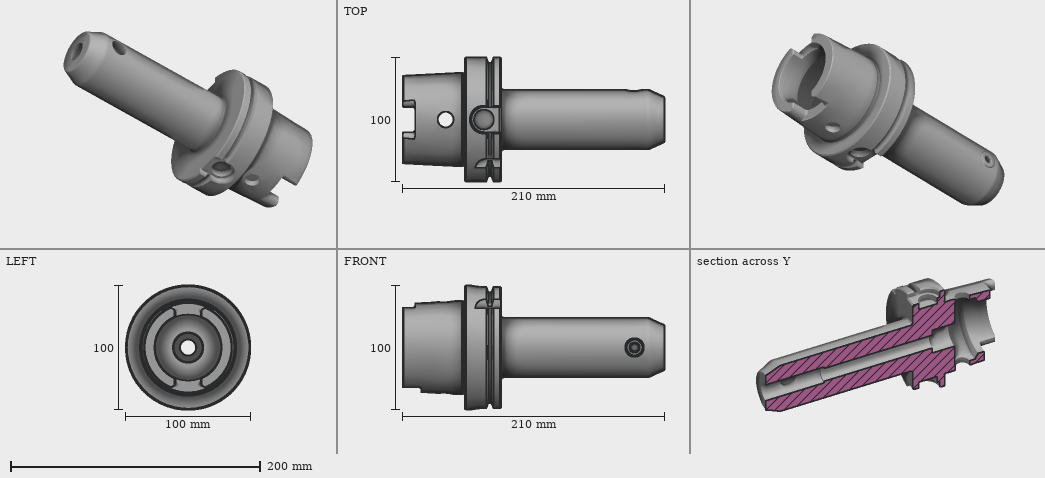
import cadquery as cq
import math

SHANK_LENGTH = 50.0
TAPER_RADIUS = 37.6
TAPER_RATIO = 1 / 20
SHANK_END_CHAMFER = 1.0
UNDERCUT_WIDTH = 2.6
UNDERCUT_RADIUS = 37.2
UNDERCUT_BEVEL = 0.7
RELIEF_RADIUS = 38.7
RELIEF_DEPTH = 0.5

FLANGE_RADIUS = 50.0
FLANGE_WIDTH = 29.0
FLANGE_CHAMFER = 1.0
GROOVE_CENTRE = 20.0
GROOVE_RADIUS = 45.6
GROOVE_FLOOR_WIDTH = 2.8
GROOVE_FILLET = 0.7
GROOVE_MOUTH_WIDTH = 6.0

NECK_RADIUS = 24.0
TIP_X = 160.0
ROOT_FILLET = 2.0
TIP_CONE_START = 147.0
TIP_CONE_ANGLE = 24.5
CONE_BLEND_RADIUS = 4.0
TIP_ROUND = 1.5

CLAMP_BORE_RADIUS = 26.5
CLAMP_BORE_CHAMFER = 0.5
CLAMP_LIP_LENGTH = 20.7
RECESS_RADIUS = 31.5
RECESS_ANGLE = 30.0
CLAMP_FLOOR_X = -8.6
TUBE_THREAD_RADIUS = 11.6
TUBE_THREAD_CHAMFER = 0.6
TUBE_THREAD_DEPTH = 20.0
COOLANT_RADIUS = 6.4
TOOL_BORE_RADIUS = 8.0
TOOL_BORE_DEPTH = 52.0

DRIVE_HALF_WIDTH = 10.0
DRIVE_SHOULDER_Z = 32.0
DRIVE_CORNER_RADIUS = 5.0
DRIVE_MOUTH_CHAMFER = 1.0
DRIVE_FLOOR_FILLET = 1.5
DRIVE_DEPTHS = {1: 10.0, -1: 15.0}

CROSS_HOLE_X = -15.5
CROSS_HOLE_RADIUS = 6.25

KEY_HALF_WIDTH = 10.0
KEY_ARC_X = 15.2
KEY_FLOOR_Z = 44.0
KEY_EDGE_CHAMFER = 1.3
CHIP_HOLE_RADIUS = 8.0
CHIP_HOLE_DEPTH = 6.0

NOTCH_OFFSET = 31.5
NOTCH_CORNER_X = 17.0
NOTCH_CORNER_RADIUS = 9.0

SCREW_X = 136.0
SCREW_RADIUS = 7.0
SCREW_TOP = 23.8
SCREW_BOTTOM = 9.0
SCREW_CHAMFER = 0.8
SCREW_HOLE_MOUTH_RADIUS = 7.5
SCREW_MOUTH_DEPTH = 1.2
HEX_FLATS = 6.0
HEX_DEPTH = 5.0
HEX_MOUTH_RADIUS = 4.2
BALANCE_X = 135.3
BALANCE_HOLE_RADIUS = 7.0
BALANCE_HOLE_DEPTH = 8.0

EDGE_BOX = 1.0
CLEAR = 5.0


def disc(x_start, x_end, radius):
    """Cylinder on the tool axis between two X positions."""
    return cq.Workplane("YZ").workplane(offset=x_start).circle(radius).extrude(x_end - x_start)


def radial_cylinder(x, y_start, y_end, radius):
    """Cylinder along Y at a given X, between two Y positions."""
    plane = cq.Plane(origin=(x, y_start, 0), xDir=(1, 0, 0), normal=(0, 1, 0))
    return cq.Workplane(plane).circle(radius).extrude(y_end - y_start)


def revolved(points):
    """Solid of revolution about the X axis from a closed (x, radius) outline."""
    return cq.Workplane("XY").polyline(points).close().revolve(360, (0, 0, 0), (1, 0, 0))


def flange_shank_blank():
    """Taper shank, undercut and plain flange as one turned shape."""
    end_radius = TAPER_RADIUS - (SHANK_LENGTH - UNDERCUT_WIDTH) * TAPER_RATIO
    return revolved([
        (-SHANK_LENGTH, 0),
        (-SHANK_LENGTH, end_radius - SHANK_END_CHAMFER / 2),
        (-SHANK_LENGTH + SHANK_END_CHAMFER, end_radius),
        (-UNDERCUT_WIDTH, TAPER_RADIUS),
        (-UNDERCUT_WIDTH + UNDERCUT_BEVEL, UNDERCUT_RADIUS),
        (-UNDERCUT_BEVEL, UNDERCUT_RADIUS),
        (RELIEF_DEPTH, UNDERCUT_RADIUS + UNDERCUT_BEVEL),
        (RELIEF_DEPTH, RELIEF_RADIUS - RELIEF_DEPTH),
        (0, RELIEF_RADIUS),
        (0, FLANGE_RADIUS - FLANGE_CHAMFER),
        (FLANGE_CHAMFER, FLANGE_RADIUS),
        (FLANGE_WIDTH, FLANGE_RADIUS),
        (FLANGE_WIDTH, 0),
    ])


def gripper_groove():
    """V-shaped ring cut into the flange rim."""
    outer_radius = FLANGE_RADIUS + CLEAR
    flank_slope = (GROOVE_MOUTH_WIDTH - GROOVE_FLOOR_WIDTH) / 2 / (FLANGE_RADIUS - GROOVE_RADIUS)
    half_floor = GROOVE_FLOOR_WIDTH / 2
    half_mouth = half_floor + flank_slope * (outer_radius - GROOVE_RADIUS)
    ring = revolved([
        (GROOVE_CENTRE - half_mouth, outer_radius),
        (GROOVE_CENTRE - half_floor, GROOVE_RADIUS),
        (GROOVE_CENTRE + half_floor, GROOVE_RADIUS),
        (GROOVE_CENTRE + half_mouth, outer_radius),
    ])
    floor_edges = cq.selectors.RadiusNthSelector(0)
    return ring.edges("%CIRCLE").edges(floor_edges).fillet(GROOVE_FILLET)


def rear_bevel():
    """Ring that bevels the rear rim of the flange."""
    return revolved([
        (FLANGE_WIDTH - FLANGE_CHAMFER, FLANGE_RADIUS),
        (FLANGE_WIDTH, FLANGE_RADIUS - FLANGE_CHAMFER),
        (FLANGE_WIDTH + FLANGE_CHAMFER, FLANGE_RADIUS - FLANGE_CHAMFER),
        (FLANGE_WIDTH + FLANGE_CHAMFER, FLANGE_RADIUS + FLANGE_CHAMFER),
        (FLANGE_WIDTH - FLANGE_CHAMFER, FLANGE_RADIUS + FLANGE_CHAMFER),
    ])


def neck():
    """Cylinder with a filleted root at the flange and a blended cone at the tip."""
    tip_radius = NECK_RADIUS - (TIP_X - TIP_CONE_START) * math.tan(math.radians(TIP_CONE_ANGLE))
    root_x = FLANGE_WIDTH + ROOT_FILLET
    body = (
        cq.Workplane("XY")
        .moveTo(0, 0)
        .lineTo(0, NECK_RADIUS + ROOT_FILLET)
        .lineTo(FLANGE_WIDTH, NECK_RADIUS + ROOT_FILLET)
        .radiusArc((root_x, NECK_RADIUS), -ROOT_FILLET)
        .lineTo(TIP_CONE_START, NECK_RADIUS)
        .lineTo(TIP_X, tip_radius)
        .lineTo(TIP_X, 0)
        .close()
        .revolve(360, (0, 0, 0), (1, 0, 0))
    )
    cone_edge = cq.selectors.BoxSelector(
        (TIP_CONE_START - EDGE_BOX, -CLEAR, -CLEAR), (TIP_CONE_START + EDGE_BOX, CLEAR, CLEAR))
    body = body.edges("%CIRCLE").edges(cone_edge).fillet(CONE_BLEND_RADIUS)
    return body.faces(">X").edges().fillet(TIP_ROUND)


def axial_bores():
    """Clamping bore with its recess, coolant tube thread, coolant passage and tool bore."""
    recess_start = -SHANK_LENGTH + CLAMP_LIP_LENGTH
    recess_full = recess_start + (RECESS_RADIUS - CLAMP_BORE_RADIUS) * math.tan(math.radians(RECESS_ANGLE))
    thread_mouth = TUBE_THREAD_RADIUS + TUBE_THREAD_CHAMFER
    clamp_bore = revolved([
        (-SHANK_LENGTH, 0),
        (-SHANK_LENGTH, CLAMP_BORE_RADIUS + CLAMP_BORE_CHAMFER),
        (-SHANK_LENGTH + CLAMP_BORE_CHAMFER, CLAMP_BORE_RADIUS),
        (recess_start, CLAMP_BORE_RADIUS),
        (recess_full, RECESS_RADIUS),
        (CLAMP_FLOOR_X, RECESS_RADIUS),
        (CLAMP_FLOOR_X, thread_mouth),
        (CLAMP_FLOOR_X + TUBE_THREAD_CHAMFER, TUBE_THREAD_RADIUS),
        (CLAMP_FLOOR_X + TUBE_THREAD_DEPTH, TUBE_THREAD_RADIUS),
        (CLAMP_FLOOR_X + TUBE_THREAD_DEPTH, 0),
    ])
    coolant = disc(CLAMP_FLOOR_X, TIP_X, COOLANT_RADIUS)
    tool_bore = disc(TIP_X - TOOL_BORE_DEPTH, TIP_X + CLEAR, TOOL_BORE_RADIUS)
    return clamp_bore.union(coolant).union(tool_bore)


def drive_slot(side):
    """Slot across the shank end: a straight passage that widens over rounded tooth corners."""
    inner_z = CLAMP_BORE_RADIUS / 2
    outer_z = TAPER_RADIUS + CLEAR
    arc_y = DRIVE_HALF_WIDTH + DRIVE_CORNER_RADIUS
    arc_z = DRIVE_SHOULDER_Z - DRIVE_CORNER_RADIUS
    shoulder_y = 2 * DRIVE_HALF_WIDTH
    depth = DRIVE_DEPTHS[side]
    slot = (
        cq.Workplane("YZ")
        .workplane(offset=-SHANK_LENGTH - CLEAR)
        .moveTo(-DRIVE_HALF_WIDTH, side * inner_z)
        .lineTo(DRIVE_HALF_WIDTH, side * inner_z)
        .lineTo(DRIVE_HALF_WIDTH, side * arc_z)
        .radiusArc((arc_y, side * DRIVE_SHOULDER_Z), side * DRIVE_CORNER_RADIUS)
        .lineTo(shoulder_y, side * DRIVE_SHOULDER_Z)
        .lineTo(shoulder_y, side * outer_z)
        .lineTo(-shoulder_y, side * outer_z)
        .lineTo(-shoulder_y, side * DRIVE_SHOULDER_Z)
        .lineTo(-arc_y, side * DRIVE_SHOULDER_Z)
        .radiusArc((-DRIVE_HALF_WIDTH, side * arc_z), side * DRIVE_CORNER_RADIUS)
        .close()
        .extrude(CLEAR + depth)
        .faces(">X").edges().fillet(DRIVE_FLOOR_FILLET)
    )
    mouth_half_width = DRIVE_HALF_WIDTH + DRIVE_MOUTH_CHAMFER
    mouth = (
        cq.Workplane("XY")
        .workplane(offset=side * inner_z)
        .polyline([
            (-SHANK_LENGTH, -mouth_half_width),
            (-SHANK_LENGTH, mouth_half_width),
            (-SHANK_LENGTH + DRIVE_MOUTH_CHAMFER, DRIVE_HALF_WIDTH),
            (-SHANK_LENGTH + DRIVE_MOUTH_CHAMFER, -DRIVE_HALF_WIDTH),
        ])
        .close()
        .extrude(side * (DRIVE_SHOULDER_Z - inner_z))
    )
    return slot.union(mouth)


def cross_hole():
    """Hole along Z through both sides of the shank wall."""
    return (
        cq.Workplane("XY")
        .workplane(offset=-FLANGE_RADIUS)
        .center(CROSS_HOLE_X, 0)
        .circle(CROSS_HOLE_RADIUS)
        .extrude(2 * FLANGE_RADIUS)
    )


def key_slot_prism(half_width, z_bottom, z_top):
    """Round-ended slot open toward +X."""
    end_x = FLANGE_WIDTH + CLEAR
    return (
        cq.Workplane("XY")
        .workplane(offset=z_bottom)
        .moveTo(end_x, half_width)
        .lineTo(KEY_ARC_X, half_width)
        .threePointArc((KEY_ARC_X - half_width, 0), (KEY_ARC_X, -half_width))
        .lineTo(end_x, -half_width)
        .close()
        .extrude(z_top - z_bottom)
    )


def cut_key_slot(body):
    """Key slot at +Z with bevelled rim and floor edges, and a blind hole in its floor."""
    body = body.cut(key_slot_prism(KEY_HALF_WIDTH, KEY_FLOOR_Z, FLANGE_RADIUS + CLEAR))
    reach = KEY_HALF_WIDTH + KEY_EDGE_CHAMFER
    lowest_rim_z = math.sqrt(FLANGE_RADIUS**2 - reach**2)
    rim = cq.selectors.BoxSelector(
        (0, -reach, lowest_rim_z), (FLANGE_WIDTH - EDGE_BOX, reach, FLANGE_RADIUS))
    floor_end = cq.selectors.BoxSelector(
        (FLANGE_WIDTH - EDGE_BOX, -EDGE_BOX, KEY_FLOOR_Z - EDGE_BOX),
        (FLANGE_WIDTH + EDGE_BOX, EDGE_BOX, KEY_FLOOR_Z + EDGE_BOX))
    body = body.edges(rim + floor_end).chamfer(KEY_EDGE_CHAMFER)
    hole = (
        cq.Workplane("XY").workplane(offset=KEY_FLOOR_Z - CHIP_HOLE_DEPTH)
        .center(KEY_ARC_X, 0).circle(CHIP_HOLE_RADIUS).extrude(CHIP_HOLE_DEPTH + CLEAR)
    )
    return body.cut(hole)


def notch():
    """Square corner cut in the rim, its end rounded as by an upright cutter."""
    end_x = FLANGE_WIDTH + CLEAR
    start_x = NOTCH_CORNER_X - NOTCH_CORNER_RADIUS
    return (
        cq.Workplane("XY")
        .workplane(offset=NOTCH_OFFSET)
        .moveTo(end_x, -NOTCH_OFFSET)
        .lineTo(NOTCH_CORNER_X, -NOTCH_OFFSET)
        .radiusArc((start_x, -NOTCH_OFFSET - NOTCH_CORNER_RADIUS), -NOTCH_CORNER_RADIUS)
        .lineTo(start_x, -FLANGE_RADIUS)
        .lineTo(end_x, -FLANGE_RADIUS)
        .close()
        .extrude(FLANGE_RADIUS - NOTCH_OFFSET)
    )


def screw_hole():
    """Radial hole from -Y to the tool axis, with a wider mouth that narrows in a cone."""
    cone_depth = SCREW_HOLE_MOUTH_RADIUS - SCREW_RADIUS
    mouth_y = -NECK_RADIUS + SCREW_MOUTH_DEPTH
    cone = cq.Solid.makeCone(
        SCREW_HOLE_MOUTH_RADIUS, SCREW_RADIUS, cone_depth, pnt=(SCREW_X, mouth_y, 0), dir=(0, 1, 0))
    hole = radial_cylinder(SCREW_X, -NECK_RADIUS - CLEAR, 0, SCREW_RADIUS)
    mouth = radial_cylinder(SCREW_X, -NECK_RADIUS - CLEAR, mouth_y, SCREW_HOLE_MOUTH_RADIUS)
    return hole.union(mouth).union(cq.Workplane(cone))


def balance_hole():
    """Blind hole opposite the clamping screw."""
    floor_y = NECK_RADIUS - BALANCE_HOLE_DEPTH
    return radial_cylinder(BALANCE_X, floor_y, NECK_RADIUS + CLEAR, BALANCE_HOLE_RADIUS)


def make_holder():
    """Key slots come before the groove so that their rim bevels run along whole edges."""
    body = flange_shank_blank()
    for turn in (0, 180):
        turned = body.rotate((0, 0, 0), (1, 0, 0), turn)
        body = cut_key_slot(turned).rotate((0, 0, 0), (1, 0, 0), -turn)
    body = body.cut(gripper_groove()).cut(rear_bevel()).cut(notch())
    body = body.union(neck()).cut(axial_bores())
    for side in DRIVE_DEPTHS:
        body = body.cut(drive_slot(side))
    return body.cut(cross_hole()).cut(screw_hole()).cut(balance_hole())


def make_screw():
    """Set screw with bevelled ends and a countersunk hexagon socket facing -Y."""
    body = radial_cylinder(SCREW_X, -SCREW_TOP, -SCREW_BOTTOM, SCREW_RADIUS)
    body = body.faces("<Y or >Y").chamfer(SCREW_CHAMFER)
    plane = cq.Plane(origin=(SCREW_X, -SCREW_TOP, 0), xDir=(1, 0, 0), normal=(0, 1, 0))
    hexagon = cq.Workplane(plane).polygon(6, HEX_FLATS, circumscribed=True).extrude(HEX_DEPTH)
    mouth = cq.Solid.makeCone(HEX_MOUTH_RADIUS, 0, HEX_MOUTH_RADIUS / 2,
                              pnt=(SCREW_X, -SCREW_TOP, 0), dir=(0, 1, 0))
    return body.cut(hexagon).cut(cq.Workplane(mouth))


holder = make_holder()
screw = make_screw()
result = cq.Compound.makeCompound([holder.solids().val(), screw.solids().val()])